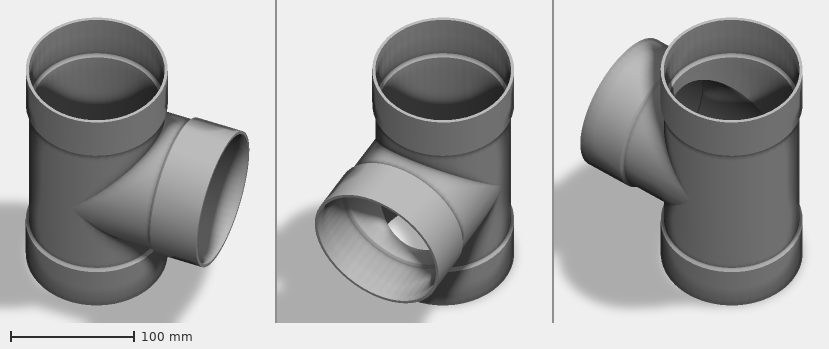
import cadquery as cq

run_length = 220.0
branch_reach = 110.0
socket_diameter = 115.0
pipe_diameter = 110.0
bore_diameter = 105.0
socket_length = 40.0
taper_length = 2.5

socket_radius = socket_diameter / 2
pipe_radius = pipe_diameter / 2
bore_radius = bore_diameter / 2


def stepped_arm(reach, narrow_radius, wide_radius):
    """Solid arm from the tee centre up along Z, widening through a cone at its socket."""
    socket_start = reach - socket_length
    return (
        cq.Workplane("XZ")
        .lineTo(narrow_radius, 0)
        .lineTo(narrow_radius, socket_start - taper_length)
        .lineTo(wide_radius, socket_start)
        .lineTo(wide_radius, reach)
        .lineTo(0, reach)
        .close()
        .revolve(360, (0, 0, 0), (0, 1, 0))
    )


arms = [
    (run_length / 2, 0),
    (run_length / 2, 180),
    (branch_reach, 90),
]


def tee(narrow_radius, wide_radius):
    """Solid tee made of all the arms, with the same radii in each."""
    body = None
    for reach, turn in arms:
        arm = stepped_arm(reach, narrow_radius, wide_radius).rotate((0, 0, 0), (0, 1, 0), turn)
        body = body.union(arm) if body else arm
    return body


outside = tee(pipe_radius, socket_radius)
inside = tee(bore_radius, pipe_radius)
result = outside.cut(inside)